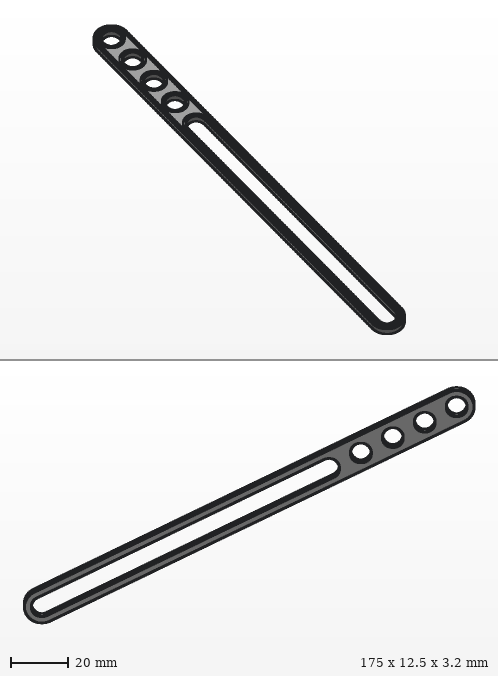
import cadquery as cq

length = 175.0
hole_count = 4
pitch_count = 14
pitch = length / pitch_count
width = pitch
thickness = 3.2

hole_diameter = 7.0
collar_diameter = 9.3
border_width = 1.08
recess_depth = 0.2
edge_chamfer = 0.3

first_center = -length / 2 + width / 2
last_center = length / 2 - width / 2
hole_centers = [first_center + i * pitch for i in range(hole_count)]
slot_start = first_center + hole_count * pitch


def rounded_bar(start, end, diameter, bottom, height):
    """Straight bar with half-round ends centred on X = start and X = end."""
    return (
        cq.Workplane("XY", origin=((start + end) / 2, 0, bottom))
        .slot2D(end - start + diameter, diameter)
        .extrude(height)
    )


def openings(diameter, bottom, height):
    """Four discs and one long slot of the same width, on the bar's centre line."""
    discs = (
        cq.Workplane("XY", origin=(0, 0, bottom))
        .pushPoints([(x, 0) for x in hole_centers])
        .circle(diameter / 2)
        .extrude(height)
    )
    return discs.union(rounded_bar(slot_start, last_center, diameter, bottom, height))


plate = rounded_bar(first_center, last_center, width, 0, thickness)
plate = plate.cut(openings(hole_diameter, 0, thickness))
plate = plate.faces("<Z or >Z").edges().chamfer(edge_chamfer)

recess_floor = thickness - recess_depth
recess_width = width - 2 * border_width
recess = rounded_bar(first_center, last_center, recess_width, recess_floor, recess_depth)
recess = recess.cut(openings(collar_diameter, recess_floor, recess_depth))

result = plate.cut(recess)